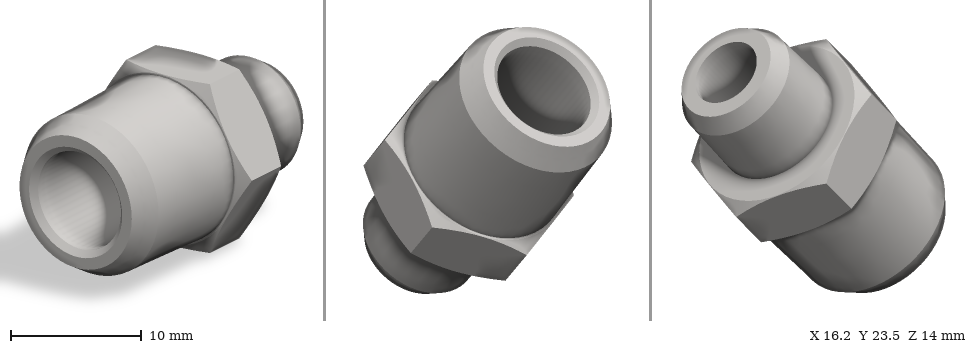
import cadquery as cq
import math

total_length = 23.5
large_end_length = 11.0
hex_length = 5.0
small_end_length = total_length - large_end_length - hex_length

across_flats = 14.0
hex_chamfer_diameter = 13.91

large_root_diameter = 13.58
large_front_diameter = 13.07
large_tip_diameter = 10.83
small_root_diameter = 9.99
small_front_diameter = 9.64
small_tip_diameter = 8.0

bore_diameter = 5.5
counterbore_diameter = 8.0
bore_mouth_diameter = 8.98
counterbore_depth = large_end_length

chamfer_angle = 30.0
mouth_angle = 45.0
drill_half_angle = 59.0

front_y = -total_length / 2
back_y = total_length / 2
hex_front_y = front_y + large_end_length
hex_back_y = hex_front_y + hex_length


def cone_length(wide_diameter, narrow_diameter, half_angle):
    """Axial length of a cone between two diameters."""
    return (wide_diameter - narrow_diameter) / 2 / math.tan(math.radians(half_angle))


def revolve_profile(points):
    """Turn a closed (radius, y) outline about the Y axis."""
    return cq.Workplane("XY").polyline(points).close().revolve(360, (0, 0, 0), (0, 1, 0))


def make_hex_collar():
    """Hexagon with corners on X, its corners chamfered on both faces."""
    across_corners = across_flats / math.cos(math.radians(30))
    chamfer_depth = (across_corners - hex_chamfer_diameter) / 2 * math.tan(math.radians(chamfer_angle))
    prism = (
        cq.Workplane("XZ", origin=(0, hex_back_y, 0))
        .polygon(6, across_corners)
        .extrude(hex_length)
    )
    corner_envelope = revolve_profile([
        (0, hex_front_y),
        (hex_chamfer_diameter / 2, hex_front_y),
        (across_corners / 2, hex_front_y + chamfer_depth),
        (across_corners / 2, hex_back_y - chamfer_depth),
        (hex_chamfer_diameter / 2, hex_back_y),
        (0, hex_back_y),
    ])
    return prism.intersect(corner_envelope)


def make_tapered_ends():
    """Both tapered ends with their lead-in chamfers, joined through the collar."""
    large_lead = cone_length(large_front_diameter, large_tip_diameter, chamfer_angle)
    small_lead = cone_length(small_front_diameter, small_tip_diameter, chamfer_angle)
    return revolve_profile([
        (0, front_y),
        (large_tip_diameter / 2, front_y),
        (large_front_diameter / 2, front_y + large_lead),
        (large_root_diameter / 2, hex_front_y),
        (small_root_diameter / 2, back_y - small_end_length),
        (small_front_diameter / 2, back_y - small_lead),
        (small_tip_diameter / 2, back_y),
        (0, back_y),
    ])


def make_passage():
    """Through bore with a chamfered, cone-bottomed counterbore in the large end."""
    mouth_depth = cone_length(bore_mouth_diameter, counterbore_diameter, mouth_angle)
    bottom_depth = cone_length(counterbore_diameter, bore_diameter, drill_half_angle)
    counterbore_y = front_y + counterbore_depth
    return revolve_profile([
        (0, front_y),
        (bore_mouth_diameter / 2, front_y),
        (counterbore_diameter / 2, front_y + mouth_depth),
        (counterbore_diameter / 2, counterbore_y),
        (bore_diameter / 2, counterbore_y + bottom_depth),
        (bore_diameter / 2, back_y),
        (0, back_y),
    ])


result = make_hex_collar().union(make_tapered_ends()).cut(make_passage())